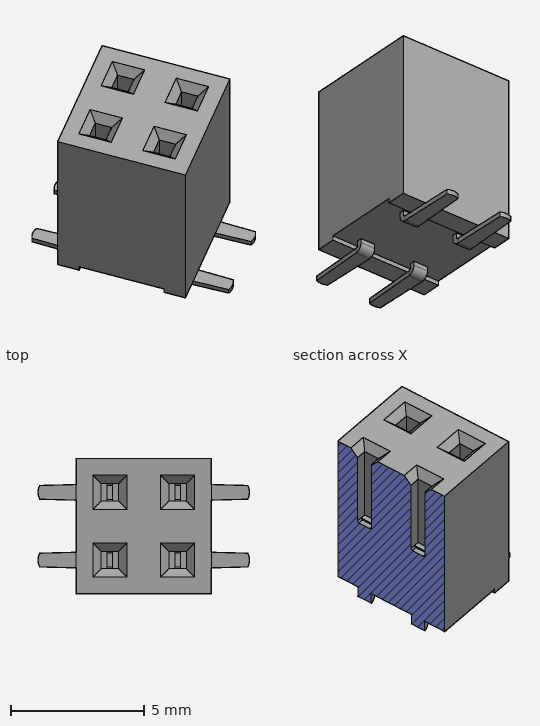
import cadquery as cq


overall_length = 7.94
overall_height = 7.3
housing_side = 5.08
standoff = 0.3
pitch = 2.54

channel_width = 3.36
channel_depth = 0.19

mouth_side = 1.29
well_side = 0.65
socket_depth = 3.49
slit_floor_length = 0.525

lead_thickness = 0.21
lead_root_width = well_side
lead_tip_width = 0.525
tip_bulge = 0.06
bend_inner_radius = 0.1

housing_height = overall_height - standoff
half_pitch = pitch / 2
half_length = overall_length / 2
channel_top = standoff + channel_depth
funnel_depth = (mouth_side - well_side) / 2
well_floor = overall_height - socket_depth
slit_depth = (well_side - slit_floor_length) / 2
bend_outer_radius = bend_inner_radius + lead_thickness
leg_inner_x = half_pitch - lead_thickness / 2
leg_outer_x = leg_inner_x + lead_thickness
bend_end_x = leg_inner_x + bend_outer_radius


def make_housing():
    """Square block standing on two feet, with the channel between them."""
    block = (
        cq.Workplane("XY", origin=(0, 0, standoff))
        .rect(housing_side, housing_side)
        .extrude(housing_height)
    )
    channel = (
        cq.Workplane("XY", origin=(0, 0, standoff))
        .rect(channel_width, housing_side)
        .extrude(channel_depth)
    )
    return block.cut(channel)


def make_socket():
    """Void of one socket, centred on the Z axis."""
    funnel = (
        cq.Workplane("XY", origin=(0, 0, overall_height))
        .rect(mouth_side, mouth_side)
        .workplane(offset=-funnel_depth)
        .rect(well_side, well_side)
        .loft(ruled=True)
    )
    well = (
        cq.Workplane("XY", origin=(0, 0, well_floor))
        .rect(well_side, well_side)
        .extrude(socket_depth - funnel_depth)
    )
    slit = (
        cq.Workplane("YZ", origin=(-lead_thickness / 2, 0, 0))
        .moveTo(-well_side / 2, well_floor)
        .lineTo(well_side / 2, well_floor)
        .lineTo(slit_floor_length / 2, well_floor - slit_depth)
        .lineTo(-slit_floor_length / 2, well_floor - slit_depth)
        .close()
        .extrude(lead_thickness)
    )
    return funnel.union(well).union(slit)


def make_lead():
    """Lead on the +X side, centred on Y = 0: the bent strip trimmed to its tapered outline."""
    bent_strip = (
        cq.Workplane("XZ")
        .moveTo(leg_inner_x, channel_top)
        .lineTo(leg_inner_x, bend_outer_radius)
        .radiusArc((bend_end_x, 0), -bend_outer_radius)
        .lineTo(half_length, 0)
        .lineTo(half_length, lead_thickness)
        .lineTo(bend_end_x, lead_thickness)
        .radiusArc((leg_outer_x, bend_outer_radius), bend_inner_radius)
        .lineTo(leg_outer_x, channel_top)
        .close()
        .extrude(lead_root_width / 2, both=True)
    )
    half_root = lead_root_width / 2
    half_tip = lead_tip_width / 2
    tip_corner_x = half_length - tip_bulge
    outline = (
        cq.Workplane("XY")
        .moveTo(leg_inner_x, -half_root)
        .lineTo(bend_end_x, -half_root)
        .lineTo(tip_corner_x, -half_tip)
        .threePointArc((half_length, 0), (tip_corner_x, half_tip))
        .lineTo(bend_end_x, half_root)
        .lineTo(leg_inner_x, half_root)
        .close()
        .extrude(channel_top)
    )
    return bent_strip.intersect(outline)


result = make_housing()
socket = make_socket()
right_lead = make_lead()
left_lead = right_lead.mirror("YZ")

for row_y in (-half_pitch, half_pitch):
    for column_x in (-half_pitch, half_pitch):
        result = result.cut(socket.translate((column_x, row_y, 0)))
    for lead in (left_lead, right_lead):
        result = result.union(lead.translate((0, row_y, 0)))